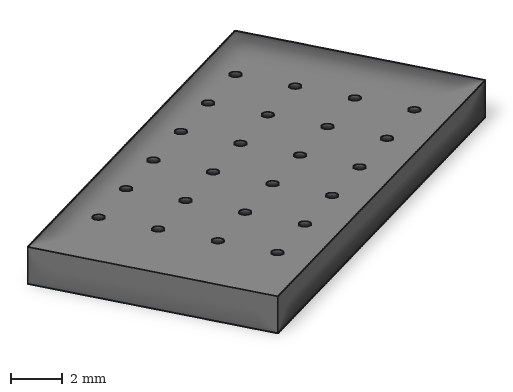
import cadquery as cq

width = 10.5
length = 20.0
thickness = 1.6

hole_diameter = 0.48
columns = 4
rows = 6
column_pitch = 2.5
row_pitch = 2.65

plate = cq.Workplane("XY").box(width, length, thickness)

result = (
    plate.faces(">Z")
    .workplane()
    .rarray(column_pitch, row_pitch, columns, rows)
    .hole(hole_diameter)
)